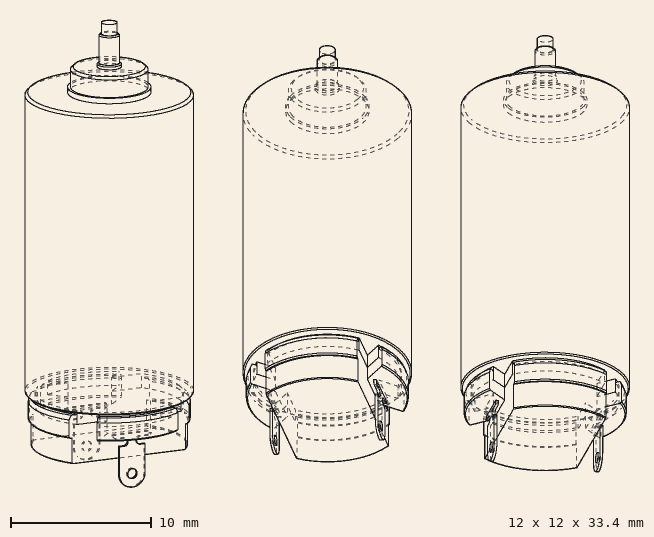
import cadquery as cq
import math

TOTAL_LENGTH = 33.35
SHAFT_END_HEIGHT = 5.17
TERMINAL_DROP = 6.0
CAN_LENGTH = TOTAL_LENGTH - SHAFT_END_HEIGHT - TERMINAL_DROP

CAN_RADIUS = 6.0
CAN_TOP_CHAMFER = 0.2
CAN_BOTTOM_CHAMFER = 0.1

BOSS_STEP_RADIUS = 2.97
BOSS_STEP_HEIGHT = 0.4
BOSS_RADIUS = 2.77
BOSS_HEIGHT = 1.9
BOSS_CHAMFER = 0.2
COLLAR_RADIUS = 0.87
COLLAR_HEIGHT = 2.2
SHAFT_RADIUS = 0.75
SHOULDER_HEIGHT = 4.35
SHAFT_TIP_RADIUS = 0.57
SHAFT_CHAMFER = 0.1

SPIGOT_RADIUS = 5.27
SPIGOT_LENGTH = 1.05

RIM_RADIUS = 5.77
RIM_TOP_DEPTH = 0.3
RIM_BOTTOM_DEPTH = 2.0
RIM_HEIGHT = RIM_BOTTOM_DEPTH - RIM_TOP_DEPTH
RIM_TOP_CHAMFER_INSET = 0.15
RIM_TOP_CHAMFER_HEIGHT = 0.35
RIM_BOTTOM_CHAMFER = 0.1
BASE_RADIUS = 5.57
BASE_BOTTOM_DEPTH = 3.9
BASE_HEIGHT = BASE_BOTTOM_DEPTH - RIM_BOTTOM_DEPTH
BASE_CHAMFER = 0.07
FLAT_X = 3.37
NOTCH_CORNER_Y = 1.7

TERMINAL_X = 3.87
TERMINAL_THICKNESS = 0.2
TERMINAL_HALF_WIDTH = 1.0
TERMINAL_HOLE_RADIUS = 0.37
ROOT_HALF_WIDTH = 1.5
ROOT_DEPTH = 0.3
RELIEF_RADIUS = 0.3
RELIEF_HALF_GAP = 0.35


def disc(radius, bottom, height):
    """Upright cylinder on the Z axis."""
    return cq.Workplane("XY").workplane(offset=bottom).circle(radius).extrude(height)


def corner_notches():
    """Four corner cutters: one wall parallel to Y, the other at 45 degrees."""
    reach = CAN_RADIUS
    cutters = cq.Workplane("XY")
    for side_x in (-1, 1):
        for side_y in (-1, 1):
            cutter = (
                cq.Workplane("XY")
                .moveTo(side_x * FLAT_X, side_y * NOTCH_CORNER_Y)
                .lineTo(side_x * (FLAT_X + reach), side_y * (NOTCH_CORNER_Y + reach))
                .lineTo(side_x * FLAT_X, side_y * (NOTCH_CORNER_Y + reach))
                .close()
                .extrude(-RIM_BOTTOM_DEPTH)
            )
            cutters = cutters.union(cutter)
    return cutters


def make_front_boss():
    """Stepped bearing boss on top of the can."""
    step = disc(BOSS_STEP_RADIUS, CAN_LENGTH, BOSS_STEP_HEIGHT)
    boss = disc(BOSS_RADIUS, CAN_LENGTH, BOSS_HEIGHT).faces(">Z").chamfer(BOSS_CHAMFER)
    return step.union(boss)


def make_shaft():
    """Collar, shaft and reduced tip."""
    collar = disc(COLLAR_RADIUS, CAN_LENGTH, COLLAR_HEIGHT).faces(">Z").chamfer(SHAFT_CHAMFER)
    shank = disc(SHAFT_RADIUS, CAN_LENGTH, SHOULDER_HEIGHT).faces(">Z").chamfer(SHAFT_CHAMFER)
    tip = disc(SHAFT_TIP_RADIUS, CAN_LENGTH, SHAFT_END_HEIGHT)
    return collar.union(shank).union(tip)


def make_motor():
    """Can with the front boss, the shaft and the notched spigot."""
    can = disc(CAN_RADIUS, 0, CAN_LENGTH)
    can = can.faces(">Z").chamfer(CAN_TOP_CHAMFER)
    can = can.faces("<Z").chamfer(CAN_BOTTOM_CHAMFER)
    spigot = disc(SPIGOT_RADIUS, -SPIGOT_LENGTH, SPIGOT_LENGTH).cut(corner_notches())
    return can.union(make_front_boss()).union(make_shaft()).union(spigot)


def make_terminal(side_x):
    """Flat solder tab with a necked root, a round end and a wire hole."""
    relief_bottom = ROOT_DEPTH + 2 * RELIEF_RADIUS
    relief_middle = ROOT_DEPTH + RELIEF_RADIUS
    relief_center_y = RELIEF_HALF_GAP + RELIEF_RADIUS
    end_center = TERMINAL_DROP - RIM_BOTTOM_DEPTH - TERMINAL_HALF_WIDTH
    arc_offset = ROOT_DEPTH * math.sqrt(0.5)
    root_arc_y = ROOT_HALF_WIDTH - ROOT_DEPTH
    sheet = cq.Workplane("YZ", origin=(side_x * TERMINAL_X, 0, -RIM_BOTTOM_DEPTH))
    tab = (
        sheet.moveTo(0, 0)
        .lineTo(ROOT_HALF_WIDTH, 0)
        .threePointArc(
            (root_arc_y + arc_offset, -arc_offset),
            (root_arc_y, -ROOT_DEPTH),
        )
        .lineTo(relief_center_y, -ROOT_DEPTH)
        .threePointArc((RELIEF_HALF_GAP, -relief_middle), (relief_center_y, -relief_bottom))
        .lineTo(TERMINAL_HALF_WIDTH, -relief_bottom)
        .lineTo(TERMINAL_HALF_WIDTH, -end_center)
        .radiusArc((0, -end_center - TERMINAL_HALF_WIDTH), TERMINAL_HALF_WIDTH)
        .mirrorY()
        .extrude(TERMINAL_THICKNESS / 2, both=True)
    )
    hole = (
        sheet.center(0, -end_center)
        .circle(TERMINAL_HOLE_RADIUS)
        .extrude(TERMINAL_THICKNESS, both=True)
    )
    return tab.cut(hole)


def make_end_cap():
    """Notched rim around the spigot, flat-sided base and two solder terminals."""
    rim = disc(RIM_RADIUS, -RIM_BOTTOM_DEPTH, RIM_HEIGHT)
    rim = rim.faces(">Z").chamfer(RIM_TOP_CHAMFER_HEIGHT, RIM_TOP_CHAMFER_INSET)
    rim = rim.faces("<Z").chamfer(RIM_BOTTOM_CHAMFER)
    rim = rim.cut(corner_notches())
    rim = rim.cut(disc(SPIGOT_RADIUS, -SPIGOT_LENGTH, SPIGOT_LENGTH))

    base = disc(BASE_RADIUS, -BASE_BOTTOM_DEPTH, BASE_HEIGHT).faces("<Z").chamfer(BASE_CHAMFER)
    between_flats = cq.Workplane("XY").box(2 * FLAT_X, 2 * CAN_RADIUS, 2 * BASE_BOTTOM_DEPTH)
    cap = rim.union(base.intersect(between_flats))

    for side_x in (-1, 1):
        cap = cap.union(make_terminal(side_x))
    return cap


motor = make_motor()
end_cap = make_end_cap()

result = cq.Compound.makeCompound([motor.solids().val(), end_cap.solids().val()])